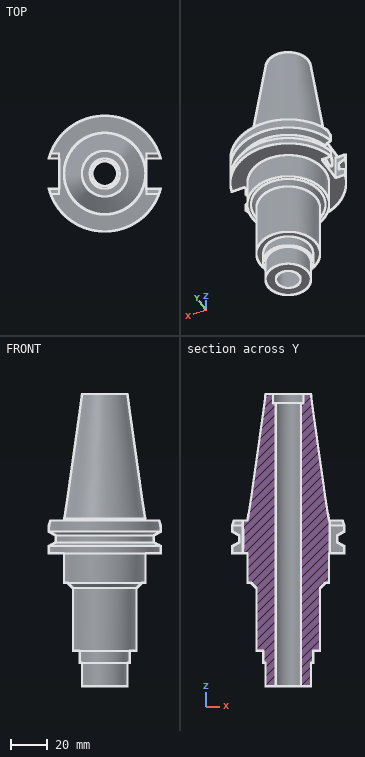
import cadquery as cq
import math

taper_length = 68.25
taper_small_dia = 25.0
gauge_dia = 44.45

flange_dia = 63.5
flange_top_z = -1.0
flange_bottom_z = -19.1
groove_floor_dia = 56.25
groove_centre_z = -11.1
groove_floor_width = 3.75
groove_wall_angle = 30.0

collar_dia = 44.85
collar_bottom_z = -35.2
cone_top_dia = 40.85
nose_dia = 35.0
nose_bottom_z = -72.4
step_dia = 27.5
step_bottom_z = -79.05
tip_dia = 25.0
overall_length = 160.05

slot_width = 16.38
slot_mouth_chamfer = 2.85
left_floor_distance = 25.0
right_floor_distance = 22.8

recess_dia = 9.5
recess_depth = 0.4

bore_dia = 13.5
counterbore_dia = 16.5
counterbore_depth = 5.0

tip_z = taper_length - overall_length
cone_bottom_z = collar_bottom_z - (cone_top_dia - nose_dia) / 2
groove_depth = (flange_dia - groove_floor_dia) / 2
groove_wall_height = groove_depth * math.tan(math.radians(groove_wall_angle))
groove_floor_half = groove_floor_width / 2
groove_mouth_half = groove_floor_half + groove_wall_height


def make_body():
    """Revolve the half profile, from the taper end down to the tip."""
    stations = [
        (taper_small_dia, taper_length),
        (gauge_dia, 0),
        (collar_dia, 0),
        (collar_dia, flange_top_z),
        (flange_dia, flange_top_z),
        (flange_dia, groove_centre_z + groove_mouth_half),
        (groove_floor_dia, groove_centre_z + groove_floor_half),
        (groove_floor_dia, groove_centre_z - groove_floor_half),
        (flange_dia, groove_centre_z - groove_mouth_half),
        (flange_dia, flange_bottom_z),
        (collar_dia, flange_bottom_z),
        (collar_dia, collar_bottom_z),
        (cone_top_dia, collar_bottom_z),
        (nose_dia, cone_bottom_z),
        (nose_dia, nose_bottom_z),
        (step_dia, nose_bottom_z),
        (step_dia, step_bottom_z),
        (tip_dia, step_bottom_z),
        (tip_dia, tip_z),
    ]
    half_profile = [(0, taper_length)]
    for diameter, z in stations:
        half_profile.append((-diameter / 2, z))
    half_profile.append((0, tip_z))
    return cq.Workplane("YZ").polyline(half_profile).close().revolve(360, (0, 0), (0, 1))


def make_slot(floor_distance, side):
    """Slot cutter through the flange, widened by 45 degree chamfers at its upper mouth.

    side is -1 for the -X slot and +1 for the +X slot.
    """
    half_width = slot_width / 2
    mouth_half = half_width + slot_mouth_chamfer
    chamfer_z = flange_top_z - slot_mouth_chamfer
    section = [
        (-half_width, flange_bottom_z),
        (half_width, flange_bottom_z),
        (half_width, chamfer_z),
        (mouth_half, flange_top_z),
        (-mouth_half, flange_top_z),
        (-half_width, chamfer_z),
    ]
    reach = flange_dia / 2 - floor_distance
    return (
        cq.Workplane("YZ", origin=(side * floor_distance, 0, 0))
        .polyline(section)
        .close()
        .extrude(side * reach)
    )


def make_recess():
    """Shallow round recess sunk into the floor of the -X slot."""
    return (
        cq.Workplane("YZ", origin=(-left_floor_distance, 0, groove_centre_z))
        .circle(recess_dia / 2)
        .extrude(recess_depth)
    )


def make_bore():
    """Through bore with a counterbore at the taper end."""
    through = cq.Workplane("XY", origin=(0, 0, tip_z)).circle(bore_dia / 2).extrude(overall_length)
    counterbore = (
        cq.Workplane("XY", origin=(0, 0, taper_length))
        .circle(counterbore_dia / 2)
        .extrude(-counterbore_depth)
    )
    return through.union(counterbore)


result = (
    make_body()
    .cut(make_slot(left_floor_distance, -1))
    .cut(make_slot(right_floor_distance, 1))
    .cut(make_recess())
    .cut(make_bore())
)